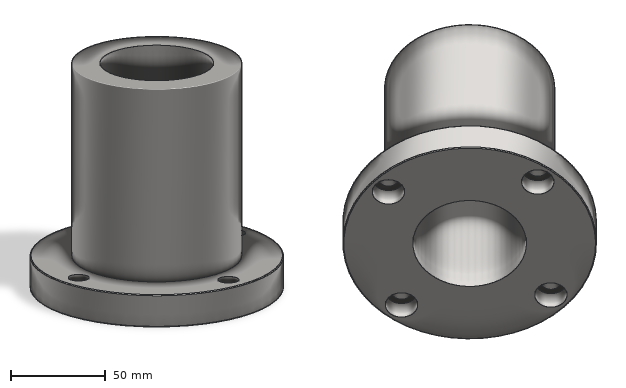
import cadquery as cq

total_height = 125.0
flange_diameter = 134.0
flange_thickness = 18.0
sleeve_diameter = 90.0
bore_diameter = 60.0
bolt_hole_diameter = 11.0
bolt_hole_count = 4
counterbore_diameter = 17.0
counterbore_depth = 11.0
flange_chamfer = 0.5
sleeve_top_fillet = 0.25

bolt_circle_radius = (flange_diameter + sleeve_diameter) / 4


def make_flange():
    """Round flange with its base on Z = 0 and both rim edges chamfered."""
    disc = cq.Workplane("XY").circle(flange_diameter / 2).extrude(flange_thickness)
    return disc.edges("%CIRCLE").chamfer(flange_chamfer)


def make_sleeve():
    """Solid cylinder rising from the base to the full height, its top edge rounded."""
    cylinder = cq.Workplane("XY").circle(sleeve_diameter / 2).extrude(total_height)
    return cylinder.faces(">Z").edges().fillet(sleeve_top_fillet)


def make_bore():
    """Cutter for the central through bore."""
    return cq.Workplane("XY").circle(bore_diameter / 2).extrude(total_height)


def make_bolt_pattern(diameter, depth):
    """Cutters on the bolt circle, rising from the base; the first is on the +X axis."""
    return (
        cq.Workplane("XY")
        .polarArray(bolt_circle_radius, 0, 360, bolt_hole_count)
        .circle(diameter / 2)
        .extrude(depth)
    )


body = make_flange().union(make_sleeve()).cut(make_bore())

bolt_holes = make_bolt_pattern(bolt_hole_diameter, flange_thickness)
counterbores = make_bolt_pattern(counterbore_diameter, counterbore_depth)

result = body.cut(bolt_holes).cut(counterbores)